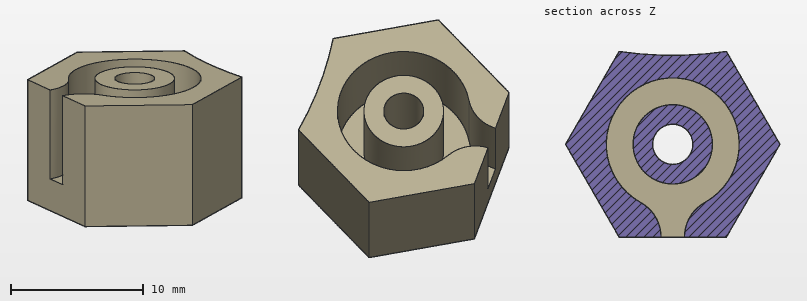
import cadquery as cq
import math

across_corners = 16.17
height = 9.5
corner_radius = across_corners / 2
half_side = corner_radius / 2
half_flats = corner_radius * math.sqrt(3) / 2
back_hollow = 0.29

pocket_diameter = 10.0
post_diameter = 6.0
bore_diameter = 3.0
pocket_depth = 7.0

flare_radius = 3.0


def hex_body():
    """Hexagonal prism whose back (+Y) face is a shallow concave arc."""
    return (
        cq.Workplane("XY")
        .moveTo(half_side, half_flats)
        .threePointArc((0, half_flats - back_hollow), (-half_side, half_flats))
        .lineTo(-corner_radius, 0)
        .lineTo(-half_side, -half_flats)
        .lineTo(half_side, -half_flats)
        .lineTo(corner_radius, 0)
        .close()
        .extrude(height)
    )


def pocket_cut():
    """Round pocket opening through the front face between two rounded flares."""
    pocket_radius = pocket_diameter / 2
    center_distance = pocket_radius + flare_radius
    center_x = math.sqrt(center_distance**2 - half_flats**2)
    mouth_x = center_x - flare_radius
    tangent_x = center_x * pocket_radius / center_distance
    tangent_y = -half_flats * pocket_radius / center_distance

    half_angle = math.atan2(half_flats, center_x) / 2
    middle_x = center_x - flare_radius * math.cos(half_angle)
    middle_y = -half_flats + flare_radius * math.sin(half_angle)

    return (
        cq.Workplane("XY")
        .workplane(offset=height - pocket_depth)
        .moveTo(-mouth_x, -half_flats)
        .threePointArc((-middle_x, middle_y), (-tangent_x, tangent_y))
        .threePointArc((0, pocket_radius), (tangent_x, tangent_y))
        .threePointArc((middle_x, middle_y), (mouth_x, -half_flats))
        .close()
        .extrude(pocket_depth)
    )


post = cq.Workplane("XY").circle(post_diameter / 2).extrude(height)
bore = cq.Workplane("XY").circle(bore_diameter / 2).extrude(height)

result = hex_body().cut(pocket_cut()).union(post).cut(bore)